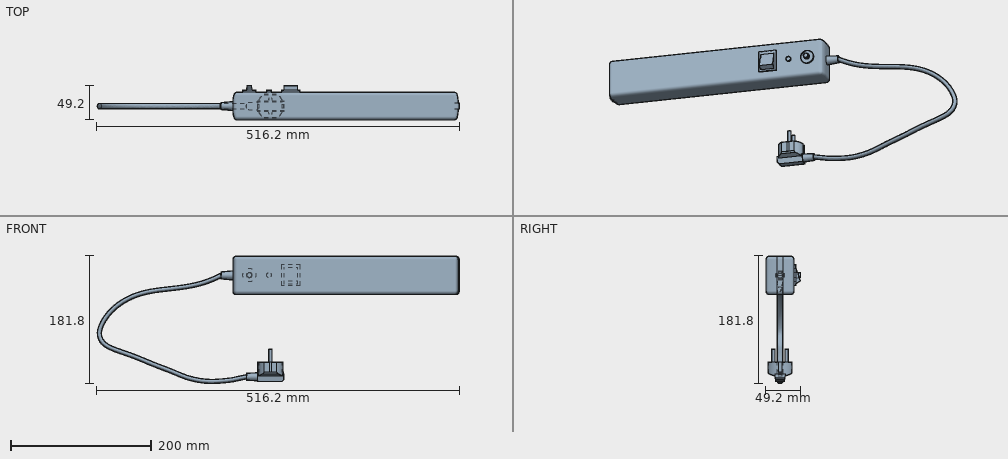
import cadquery as cq
import math

HOUSING_LENGTH = 321.8
HOUSING_DEPTH = 40.0
HOUSING_HEIGHT = 55.0
EDGE_RADIUS = 5.0
END_FLAT_WIDTH = 14.0
LEFT_BOW = 3.2
RIGHT_BOW = 2.8
END_RIB_WIDTH = 8.5
END_RIB_SETBACK = 6.5
END_RIB_PROUD = 1.01

CONTROL_HEIGHT = 9.2
CONTROL_Z = 0.5
FLANGE_THICKNESS = 2.6
SOCKET_X = 23.5
SOCKET_FLANGE_DIAMETER = 19.0
SOCKET_STEM_DIAMETER = 6.8
SOCKET_NUT_DIAMETER = 7.8
SOCKET_NUT_HEIGHT = 6.0
LAMP_X = 51.5
LAMP_DIAMETER = 7.0
SWITCH_X = 82.5
SWITCH_FLANGE_WIDTH = 26.0
SWITCH_FLANGE_HEIGHT = 30.0
ROCKER_WIDTH = 19.5
ROCKER_TOP_Z = 10.5
ROCKER_PEAK_Z = -8.5
ROCKER_FOOT_Z = -12.5

PLUG_X = 53.6
PLUG_TOP_Z = -123.5
PLUG_HALF_WIDTH = 18.4
PLUG_SIDE_Y = 17.3
PLUG_SIDE_HALF_LENGTH = 9.0
PLUG_HEIGHT = 28.1
PLUG_RIM_DEPTH = 14.5
PLUG_SHOULDER_Y = 16.0
PLUG_SHOULDER_DEPTH = 17.0
KEEL_DEPTH = 20.0
KEEL_TOP_HALF_WIDTH = 7.5
KEEL_BOTTOM_HALF_WIDTH = 6.0
KEEL_NOSE = 0.8
KEEL_CHAMFER = 3.0
NOTCH_WIDTH = 3.0
NOTCH_DEPTH = 1.0
GROOVE_WIDTH = 5.0
GROOVE_DEPTH = 2.0
PIN_DIAMETER = 5.0
PIN_TIP_RADIUS = 0.6
PIN_LENGTH = 18.5
PIN_SPACING = 19.0

CABLE_WIDTH = 8.0
CABLE_THICKNESS = 6.2
HOUSING_SLEEVE_BASE_RADIUS = 6.6
HOUSING_SLEEVE_TIP_RADIUS = 5.1
HOUSING_SLEEVE_LENGTH = 16.8
PLUG_SLEEVE_BASE_RADIUS = 5.9
PLUG_SLEEVE_TIP_RADIUS = 5.1
PLUG_SLEEVE_LENGTH = 15.5
SLEEVE_EMBED = 4.0
PLUG_ENTRY_DEPTH = 21.0
PLUG_ENTRY_Z = PLUG_TOP_Z - PLUG_ENTRY_DEPTH
PLUG_BACK_X = PLUG_X - PLUG_HALF_WIDTH

CABLE_COURSE = [
    (-HOUSING_SLEEVE_LENGTH, 0.0),
    (-43.4, -10.8),
    (-90.0, -19.1),
    (-132.8, -26.5),
    (-167.8, -45.4),
    (-187.6, -71.6),
    (-190.3, -82.7),
    (-187.6, -92.4),
    (-165.8, -106.6),
    (-140.0, -115.8),
    (-113.3, -126.7),
    (-86.1, -137.2),
    (-66.7, -145.0),
    (-47.0, -149.8),
    (-25.9, -151.1),
    (-2.0, -149.0),
    (PLUG_BACK_X - PLUG_SLEEVE_LENGTH, PLUG_ENTRY_Z),
]
CABLE_START_DIRECTION = (-1.0, -0.5)
CABLE_END_DIRECTION = (1.0, 0.2)


def left_bow_middle():
    """Middle of the arc that runs tangent from the flat strip to the corner at -Y."""
    rise = (HOUSING_DEPTH - END_FLAT_WIDTH) / 2
    radius = (rise**2 + LEFT_BOW**2) / (2 * LEFT_BOW)
    half_angle = math.asin(rise / radius) / 2
    x = radius * (1 - math.cos(half_angle))
    y = -END_FLAT_WIDTH / 2 - radius * math.sin(half_angle)
    return x, y


def make_housing():
    """Box with rounded edges, its left end bowed around a flat strip and its right end one arc."""
    half_depth = HOUSING_DEPTH / 2
    half_flat = END_FLAT_WIDTH / 2
    body = (
        cq.Workplane("XY", origin=(0, 0, -HOUSING_HEIGHT / 2))
        .moveTo(0, -half_flat)
        .lineTo(0, half_flat)
        .tangentArcPoint((LEFT_BOW, half_depth), relative=False)
        .lineTo(HOUSING_LENGTH - RIGHT_BOW, half_depth)
        .threePointArc((HOUSING_LENGTH, 0), (HOUSING_LENGTH - RIGHT_BOW, -half_depth))
        .lineTo(LEFT_BOW, -half_depth)
        .threePointArc(left_bow_middle(), (0, -half_flat))
        .close()
        .extrude(HOUSING_HEIGHT)
    )
    body = body.edges("|Z and (<Y or >Y)").fillet(EDGE_RADIUS)
    return body.faces("<Z or >Z").edges().fillet(EDGE_RADIUS)


def make_end_rib():
    """Upright rib standing slightly proud of the right end."""
    length = END_RIB_SETBACK + END_RIB_PROUD
    return (
        cq.Workplane("XY")
        .box(length, END_RIB_WIDTH, HOUSING_HEIGHT, centered=(False, True, True))
        .edges(">X and |Y")
        .fillet(EDGE_RADIUS)
        .translate((HOUSING_LENGTH - END_RIB_SETBACK, 0, 0))
    )


def control_base(x):
    """Workplane on the +Y face, with its normal along +Y."""
    return cq.Workplane("XZ", origin=(x, HOUSING_DEPTH / 2, CONTROL_Z))


def make_rocker():
    """Tilted switch key, flush with its flange at the upper end and proudest near its lower end."""
    side = [
        (0, ROCKER_TOP_Z),
        (FLANGE_THICKNESS, ROCKER_TOP_Z),
        (CONTROL_HEIGHT, ROCKER_PEAK_Z),
        (FLANGE_THICKNESS, ROCKER_FOOT_Z),
        (0, ROCKER_FOOT_Z),
    ]
    return (
        cq.Workplane("YZ", origin=(SWITCH_X - ROCKER_WIDTH / 2, HOUSING_DEPTH / 2, CONTROL_Z))
        .polyline(side)
        .close()
        .extrude(ROCKER_WIDTH)
    )


def add_controls(body):
    """Join the flanged socket, the lamp and the rocker switch to the +Y face."""
    socket = (
        control_base(SOCKET_X)
        .circle(SOCKET_FLANGE_DIAMETER / 2)
        .extrude(-FLANGE_THICKNESS)
    )
    nut = control_base(SOCKET_X).circle(SOCKET_NUT_DIAMETER / 2).extrude(-SOCKET_NUT_HEIGHT)
    stem = control_base(SOCKET_X).circle(SOCKET_STEM_DIAMETER / 2).extrude(-CONTROL_HEIGHT)
    lamp = control_base(LAMP_X).circle(LAMP_DIAMETER / 2).extrude(-FLANGE_THICKNESS)
    flange = (
        control_base(SWITCH_X)
        .rect(SWITCH_FLANGE_WIDTH, SWITCH_FLANGE_HEIGHT)
        .extrude(-FLANGE_THICKNESS)
    )
    for control in (socket, nut, stem, lamp, flange, make_rocker()):
        body = body.union(control)
    return body


def make_sleeve(x, z, base_radius, tip_radius, length):
    """Cone pointing to -X, widest where it leaves the face at x."""
    return (
        cq.Workplane("XZ", origin=(x, 0, z))
        .moveTo(SLEEVE_EMBED, 0)
        .lineTo(SLEEVE_EMBED, base_radius)
        .lineTo(0, base_radius)
        .lineTo(-length, tip_radius)
        .lineTo(-length, 0)
        .close()
        .revolve(360, (0, 0), (1, 0))
    )


def make_cable():
    """Flat oval cable swept along a curve in the XZ plane."""
    path = cq.Workplane("XZ").spline(
        CABLE_COURSE, tangents=[CABLE_START_DIRECTION, CABLE_END_DIRECTION]
    )
    start_x, start_z = CABLE_COURSE[0]
    normal_x, normal_z = CABLE_START_DIRECTION
    section = cq.Plane(
        origin=(start_x, 0, start_z),
        xDir=(-normal_z, 0, normal_x),
        normal=(normal_x, 0, normal_z),
    )
    return cq.Workplane(section).ellipse(CABLE_THICKNESS / 2, CABLE_WIDTH / 2).sweep(path)


def mirrored_prism(right_half, nose_x):
    """Prism along X from the back of the plug, symmetric about Y = 0."""
    left_half = [(-y, z) for y, z in reversed(right_half)]
    return (
        cq.Workplane("YZ", origin=(-PLUG_HALF_WIDTH, 0, 0))
        .polyline(right_half + left_half)
        .close()
        .extrude(PLUG_HALF_WIDTH + nose_x)
    )


def make_plug():
    """Round plug with flat sides, notches and grooves, a narrow keel below and two pins above."""
    plan = (
        cq.Workplane("XY", origin=(0, 0, -PLUG_HEIGHT))
        .moveTo(-PLUG_SIDE_HALF_LENGTH, -PLUG_SIDE_Y)
        .lineTo(PLUG_SIDE_HALF_LENGTH, -PLUG_SIDE_Y)
        .threePointArc((PLUG_HALF_WIDTH, 0), (PLUG_SIDE_HALF_LENGTH, PLUG_SIDE_Y))
        .lineTo(-PLUG_SIDE_HALF_LENGTH, PLUG_SIDE_Y)
        .threePointArc((-PLUG_HALF_WIDTH, 0), (-PLUG_SIDE_HALF_LENGTH, -PLUG_SIDE_Y))
        .close()
        .extrude(PLUG_HEIGHT)
    )
    body = plan.intersect(
        mirrored_prism(
            [
                (PLUG_SIDE_Y, 0),
                (PLUG_SIDE_Y, -PLUG_RIM_DEPTH),
                (PLUG_SHOULDER_Y, -PLUG_SHOULDER_DEPTH),
                (KEEL_TOP_HALF_WIDTH, -KEEL_DEPTH),
            ],
            PLUG_HALF_WIDTH,
        )
    )
    keel = mirrored_prism(
        [
            (KEEL_TOP_HALF_WIDTH, -PLUG_SHOULDER_DEPTH),
            (KEEL_TOP_HALF_WIDTH, -KEEL_DEPTH),
            (KEEL_BOTTOM_HALF_WIDTH, -PLUG_HEIGHT),
        ],
        PLUG_HALF_WIDTH + KEEL_NOSE,
    )
    plug = body.union(keel.faces("<Z").edges(">X").chamfer(KEEL_CHAMFER))
    for side in (-1, 1):
        notch = cq.Workplane("XY").box(NOTCH_WIDTH, 2 * NOTCH_DEPTH, 2 * PLUG_RIM_DEPTH)
        plug = plug.cut(notch.translate((0, side * PLUG_SIDE_Y, 0)))
        groove = cq.Workplane("XY").box(2 * GROOVE_DEPTH, GROOVE_WIDTH, 2 * PLUG_RIM_DEPTH)
        plug = plug.cut(groove.translate((side * PLUG_HALF_WIDTH, 0, 0)))
    pins = (
        cq.Workplane("XY")
        .pushPoints([(0, -PIN_SPACING / 2), (0, PIN_SPACING / 2)])
        .circle(PIN_DIAMETER / 2)
        .extrude(PIN_LENGTH)
        .faces(">Z")
        .edges()
        .fillet(PIN_TIP_RADIUS)
    )
    return plug.union(pins).translate((PLUG_X, 0, PLUG_TOP_Z))


housing = add_controls(make_housing().union(make_end_rib()))
housing_sleeve = make_sleeve(
    0, 0, HOUSING_SLEEVE_BASE_RADIUS, HOUSING_SLEEVE_TIP_RADIUS, HOUSING_SLEEVE_LENGTH
)
plug_sleeve = make_sleeve(
    PLUG_BACK_X, PLUG_ENTRY_Z, PLUG_SLEEVE_BASE_RADIUS, PLUG_SLEEVE_TIP_RADIUS, PLUG_SLEEVE_LENGTH
)
result = housing.union(housing_sleeve).union(make_cable()).union(make_plug().union(plug_sleeve))